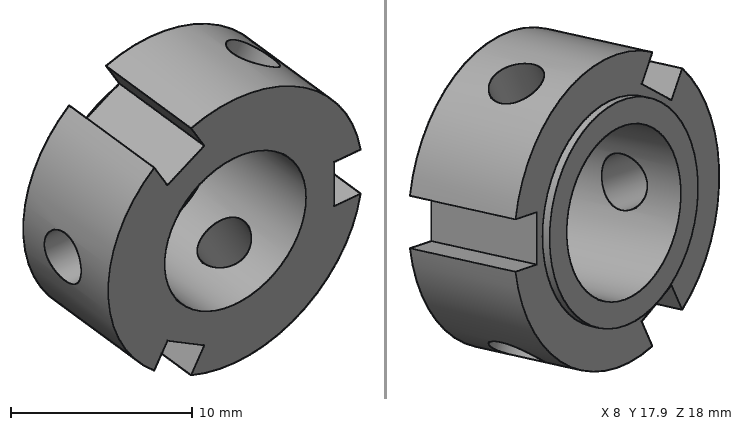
import cadquery as cq

outer_diameter = 17.99
bore_diameter = 10.0
collar_diameter = 13.0
total_length = 8.0
collar_length = 0.5

feature_count = 3
slot_width = 3.0
slot_floor_radius = 7.0
hole_diameter = 3.24
hole_x = total_length / 2

outer_radius = outer_diameter / 2
spacing_angle = 360 / feature_count


def make_ring():
    """Bored body with the collar starting at X = 0."""
    collar = cq.Workplane("YZ").circle(collar_diameter / 2).extrude(total_length)
    body = (
        cq.Workplane("YZ", origin=(collar_length, 0, 0))
        .circle(outer_radius)
        .extrude(total_length - collar_length)
    )
    bore = cq.Workplane("YZ").circle(bore_diameter / 2).extrude(total_length)
    return body.union(collar).cut(bore)


def make_slot():
    """Full-length slot cutter on the +Y side, with a flat floor."""
    return cq.Workplane("XY").box(
        total_length, outer_radius, slot_width, centered=(False, False, True)
    ).translate((0, slot_floor_radius, 0))


def make_hole():
    """Radial hole cutter from the axis out through the -Y wall."""
    return (
        cq.Workplane("XZ", origin=(hole_x, 0, 0))
        .circle(hole_diameter / 2)
        .extrude(outer_diameter)
    )


result = make_ring()
for index in range(feature_count):
    for cutter in (make_slot(), make_hole()):
        result = result.cut(cutter.rotate((0, 0, 0), (1, 0, 0), index * spacing_angle))